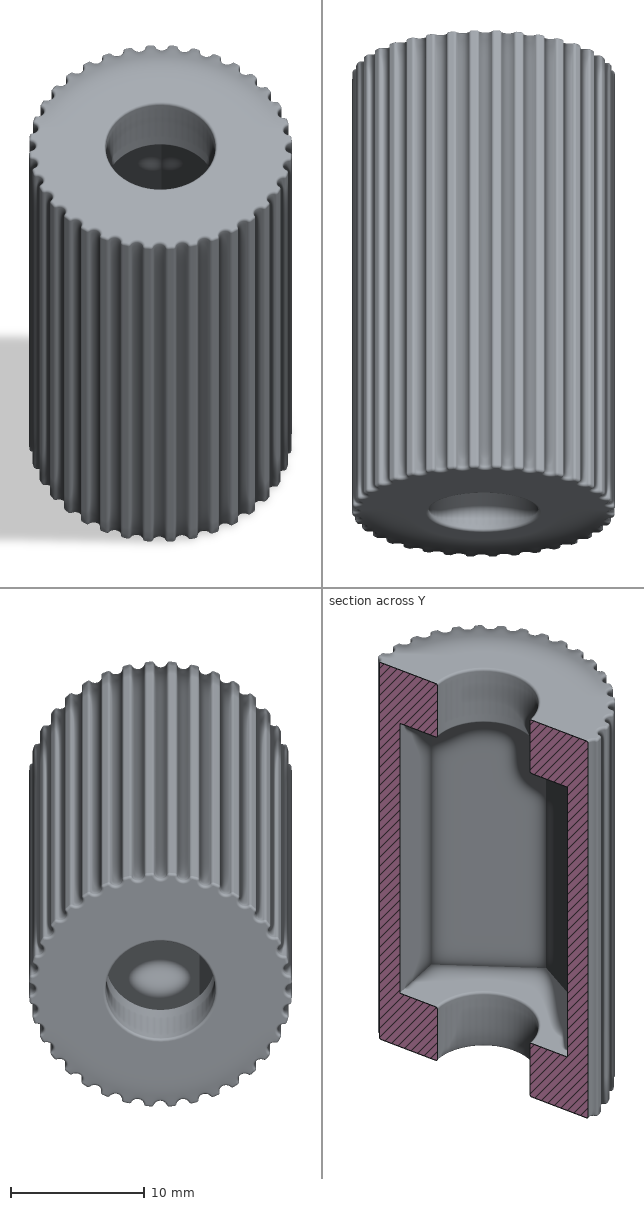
import cadquery as cq
import math

length = 35.0
tip_diameter = 19.78
tip_radius = tip_diameter / 2

tooth_count = 36
root_radius = 9.38
groove_radius = 0.5
tip_round = 0.2

bore_diameter = 8.25
bore_radius = bore_diameter / 2
collar_length = 5.0
hex_sides = 6
hex_across_flats = 14.98

edge_round = 0.2


def at(radius, angle):
    """Point at a polar position, angle in radians from +X."""
    return (radius * math.cos(angle), radius * math.sin(angle))


def toothed_outline():
    """Closed outline of round grooves joined to the tooth tips by tangent rounds."""
    pitch = 2 * math.pi / tooth_count
    groove_center = root_radius + groove_radius
    round_center = tip_radius - tip_round
    center_gap = groove_radius + tip_round

    land_start = math.acos(
        (groove_center**2 + round_center**2 - center_gap**2) / (2 * groove_center * round_center)
    )
    round_x, round_y = at(round_center, land_start)
    lean = math.atan2(round_y, groove_center - round_x)
    wall_x = groove_center - groove_radius * math.cos(lean)
    wall_y = groove_radius * math.sin(lean)
    wall_radius = math.hypot(wall_x, wall_y)
    wall_angle = math.atan2(wall_y, wall_x)

    middle_direction = (land_start - lean) / 2
    middle_x = round_x + tip_round * math.cos(middle_direction)
    middle_y = round_y + tip_round * math.sin(middle_direction)
    middle_radius = math.hypot(middle_x, middle_y)
    middle_angle = math.atan2(middle_y, middle_x)

    outline = cq.Workplane("XY").moveTo(*at(wall_radius, -wall_angle))
    for tooth in range(tooth_count):
        groove = tooth * pitch
        next_groove = groove + pitch
        outline = (
            outline.threePointArc(at(root_radius, groove), at(wall_radius, groove + wall_angle))
            .threePointArc(at(middle_radius, groove + middle_angle), at(tip_radius, groove + land_start))
            .threePointArc(at(tip_radius, groove + pitch / 2), at(tip_radius, next_groove - land_start))
            .threePointArc(
                at(middle_radius, next_groove - middle_angle), at(wall_radius, next_groove - wall_angle)
            )
        )
    return outline.close()


def hex_chamber():
    """Hexagonal prism with two flats facing +X and -X."""
    half_side_angle = 180.0 / hex_sides
    across_corners = hex_across_flats / math.cos(math.radians(half_side_angle))
    return (
        cq.Workplane("XY", origin=(0, 0, collar_length))
        .transformed(rotate=(0, 0, half_side_angle))
        .polygon(hex_sides, across_corners)
        .extrude(length - 2 * collar_length)
    )


body = toothed_outline().extrude(length)
bore = cq.Workplane("XY").circle(bore_radius).extrude(length)
rounded_sleeve = body.cut(bore).faces("<Z or >Z").fillet(edge_round)
hollow_sleeve = rounded_sleeve.cut(hex_chamber())

mouth_reach = bore_radius + edge_round
chamber_mouths = cq.selectors.BoxSelector(
    (-mouth_reach, -mouth_reach, collar_length - edge_round),
    (mouth_reach, mouth_reach, length - collar_length + edge_round),
    boundingbox=True,
)
result = hollow_sleeve.edges(chamber_mouths).fillet(edge_round)